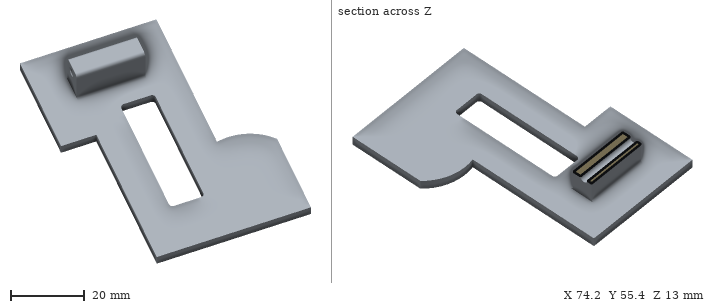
import cadquery as cq

plate_length = 74.2
plate_width = 55.4
plate_thickness = 3.05
front_step_x = 30.0
front_step_y = 10.3
back_step_x = 44.3
back_step_y = 39.85
back_arc_end_x = 49.45
back_arc_radius = 16.0

window_x = 23.15
window_y = 20.0
window_length = 36.8
window_width = 10.0
window_corner_radius = 1.05

lug_left = 9.9
lug_thickness = 6.7
lug_length = 20.05
lug_top = 13.0
lug_top_radius = 1.1
lug_foot_radius = 0.9
pin_diameter = 2.6
pin_x = 12.6
pin_z = 10.0

lug_right = lug_left + lug_thickness
lug_back = window_y + window_width
lug_front = lug_back - lug_length


def make_plate():
    """Stepped plate with a rounded shoulder at the back."""
    return (
        cq.Workplane("XY")
        .lineTo(front_step_x, 0)
        .lineTo(front_step_x, front_step_y)
        .lineTo(plate_length, front_step_y)
        .lineTo(plate_length, plate_width)
        .lineTo(back_arc_end_x, plate_width)
        .radiusArc((back_step_x, back_step_y), -back_arc_radius)
        .lineTo(0, back_step_y)
        .close()
        .extrude(plate_thickness)
    )


def make_window():
    """Rounded rectangular cutter for the window."""
    return (
        cq.Workplane("XY")
        .box(window_length, window_width, plate_thickness, centered=False)
        .edges("|Z")
        .fillet(window_corner_radius)
        .translate((window_x, window_y, 0))
    )


def make_lug():
    """Lug with rounded top edges and concave fillets along its foot."""
    foot_top = plate_thickness + lug_foot_radius
    shoulder = lug_top - lug_top_radius
    return (
        cq.Workplane("XZ", origin=(0, lug_back, 0))
        .moveTo(lug_left - lug_foot_radius, 0)
        .lineTo(lug_right + lug_foot_radius, 0)
        .lineTo(lug_right + lug_foot_radius, plate_thickness)
        .radiusArc((lug_right, foot_top), lug_foot_radius)
        .lineTo(lug_right, shoulder)
        .radiusArc((lug_right - lug_top_radius, lug_top), -lug_top_radius)
        .lineTo(lug_left + lug_top_radius, lug_top)
        .radiusArc((lug_left, shoulder), -lug_top_radius)
        .lineTo(lug_left, foot_top)
        .radiusArc((lug_left - lug_foot_radius, plate_thickness), lug_foot_radius)
        .close()
        .extrude(lug_length)
    )


def make_pin_hole():
    """Cutter for the pin hole along the full length of the lug."""
    return (
        cq.Workplane("XZ", origin=(0, lug_back, 0))
        .center(pin_x, pin_z)
        .circle(pin_diameter / 2)
        .extrude(lug_length)
    )


result = make_plate().cut(make_window()).union(make_lug()).cut(make_pin_hole())